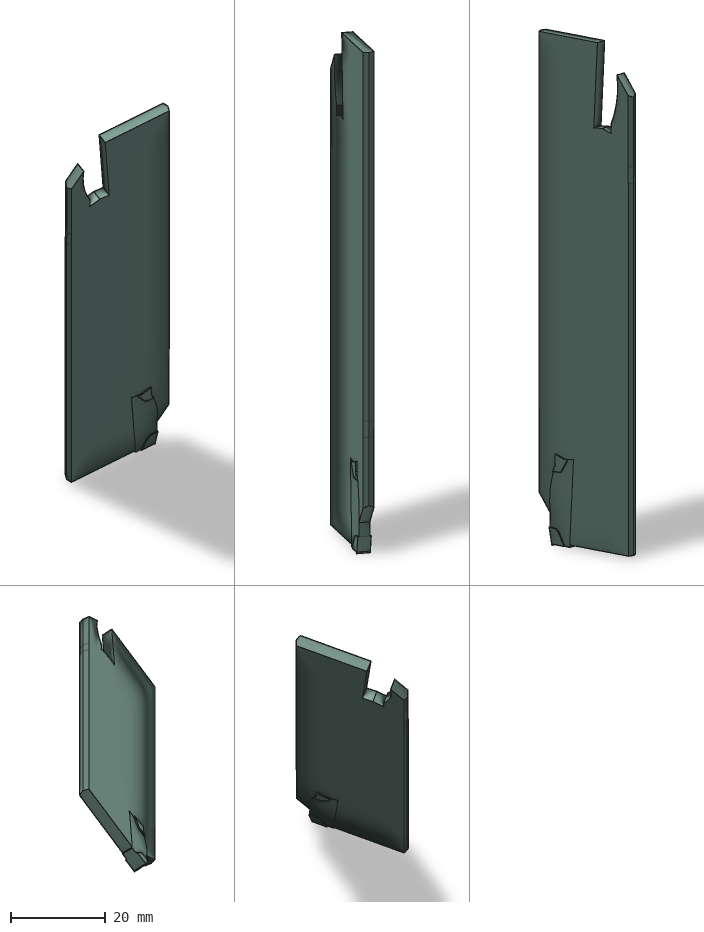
import cadquery as cq

top_z = 110.8
bottom_z = 0.8
blade_width = 25.3
blade_thickness = 2.4
insert_width = 3.0
vee_depth = 0.4
half_width = blade_width / 2
middle_z = (top_z + bottom_z) / 2

edge_relief = 0.08
ramp_top_z = 85.1
ramp_bottom_z = 81.4

mouth_y = -3.8
seat_back = (-2.8, 92.2)
seat_ridge = (-5.1, 92.4)
seat_front = (-7.5, 91.6)
seat_step = (-7.5, 93.8)
jaw_bend = (-8.6, 97.1)
jaw_tip = (-9.1, 104.6)
jaw_shoulder_z = 99.9

relief_top = (9.2, 3.9)
cutting_edge = (8.4, 0.0)
rake_start = (8.3, 0.3)
rake_end_z = 0.2

upper_head_line = [(8.5, 16.1), (6.1, 16.2), (4.2, 19.2)]
lower_head_line = [(9.2, 3.9), (7.4, 3.8), (6.6, 3.1), (5.1, 0.2)]
head_margin = 2.2


def turned(point):
    """Turn a (y, z) point half a turn about the blade centre."""
    y, z = point
    return (-y, 2 * middle_z - z)


def slab(sketch, thickness):
    """Extrude a YZ outline to a thickness centred on X = 0."""
    return sketch.close().extrude(thickness / 2, both=True)


def seat_path(start):
    """Path from start through the lower mouth, around the seat, to the jaw tip."""
    return (
        start.lineTo(*turned((mouth_y, top_z)))
        .lineTo(*turned(seat_back))
        .lineTo(*turned(seat_ridge))
        .lineTo(*turned(seat_front))
        .lineTo(*turned(seat_step))
        .threePointArc(turned(jaw_bend), turned(jaw_tip))
    )


def turned_slot():
    """Slot at the lower end, opened at the +Y corner, that the insert fills."""
    return slab(
        seat_path(cq.Workplane("YZ").moveTo(half_width, bottom_z))
        .lineTo(*turned((-half_width, jaw_shoulder_z))),
        insert_width,
    )


def blade_half():
    """The -Y half of the bar; its outline slants inward from mid-plane to make the vee."""
    relieved_y = -half_width + edge_relief
    ramp_middle = (relieved_y - edge_relief / 4, (ramp_top_z + ramp_bottom_z) / 2)
    outline = (
        cq.Workplane("YZ")
        .moveTo(0, bottom_z)
        .lineTo(-half_width, bottom_z)
        .lineTo(-half_width, ramp_bottom_z)
        .threePointArc(ramp_middle, (relieved_y, ramp_top_z))
        .lineTo(relieved_y, top_z)
        .lineTo(0, top_z)
        .close()
        .wires()
        .val()
    )
    half = cq.Workplane("YZ")
    for side in (-1, 1):
        slant = cq.Vector(side * blade_thickness / 2, vee_depth, 0)
        half = half.add(cq.Solid.extrudeLinear(outline, [], slant))
    return half.combine()


def make_blade():
    """Flat blade with vee edges and one slot at each end, half a turn apart."""
    axis = ((0, 0, middle_z), (1, 0, middle_z))
    near_half = blade_half()
    lower_slot = turned_slot()
    bar = near_half.union(near_half.rotate(*axis, 180)).clean()
    return bar.cut(lower_slot).cut(lower_slot.rotate(*axis, 180))


def insert_outline(thickness):
    """Full side outline of the insert at the given thickness."""
    return slab(
        seat_path(cq.Workplane("YZ").moveTo(-mouth_y, rake_end_z))
        .lineTo(*relief_top)
        .lineTo(*cutting_edge)
        .lineTo(*rake_start),
        thickness,
    )


def head_region(line, end_z):
    """Region on the +Y side of a head line, running out past end_z."""
    outer_y = half_width + head_margin
    points = [(outer_y, line[0][1]), *line, (line[-1][0], end_z), (outer_y, end_z)]
    return slab(cq.Workplane("YZ").polyline(points), insert_width)


def make_insert():
    """Cutting insert: shank flush with the blade and a wider head at each end."""
    shank = insert_outline(blade_thickness)
    wide = insert_outline(insert_width)
    upper_end_z = turned(seat_front)[1] + head_margin
    upper_head = wide.intersect(head_region(upper_head_line, upper_end_z))
    lower_head = wide.intersect(head_region(lower_head_line, -head_margin))
    return shank.union(upper_head).union(lower_head)


blade = make_blade()
insert = make_insert()
result = cq.Compound.makeCompound([blade.solids().val(), insert.solids().val()])